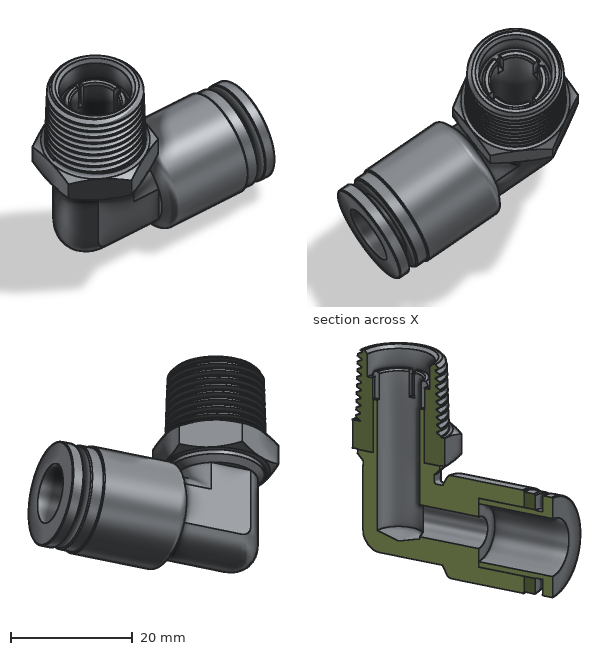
import cadquery as cq
import math


ARM_RADIUS = 6.98
ARM_HALF_WIDTH = 6.0
OUTER_CORNER_RADIUS = 3.4
INNER_CORNER_RADIUS = 0.45

SLEEVE_RADIUS = 9.0
SLEEVE_BACK_Y = 8.5
SLEEVE_FRONT_Y = 24.45
SLEEVE_BACK_CONE_ANGLE = 60
SLEEVE_BACK_FILLET = 1.15
SLEEVE_FRONT_CHAMFER = 0.2

COLLAR_RADIUS = 8.03
COLLAR_BOTTOM_Z = 8.45
COLLAR_CHAMFER = 1.05
HEX_BOTTOM_Z = 10.25

SPIGOT_RADIUS = 5.03
SPIGOT_TOP_Z = 24.2
HOOK_RADIUS = 5.5
HOOK_HEIGHT = 1.0
HOOK_TIP_HEIGHT = 0.15
SPIGOT_INNER_CHAMFER = 0.3
SLOT_WIDTH = 1.05
SLOT_BOTTOM_Z = 19.5

BORE_RADIUS = 4.1
BORE_BOTTOM_Z = -3.1
DRILL_POINT_HALF_ANGLE = 75
PASSAGE_RADIUS = 2.73

HEX_FLATS = 18.0
HEX_TOP_Z = 15.25
HEX_CHAMFER_RADIUS = 8.95
HEX_CHAMFER_ANGLE = 30
STUD_TOP_Z = 27.7
STUD_BORE_RADIUS = 6.0
STUD_INNER_CHAMFER = 0.6
THREAD_BASE_RADIUS = 8.35
THREAD_TAPER = 1 / 32
THREAD_PITCH = 1.335
THREAD_DEPTH = 0.8
THREAD_ROOT_FLAT = 0.1
THREAD_HALF_ANGLE = 27.5
THREAD_START_ANGLE = -90
STUD_TOP_RADIUS = 7.2
STUD_TOP_CHAMFER_ANGLE = 45
CUT_CLEARANCE = 0.2

RING_RADIUS = 8.73
RING_FRONT_Y = 26.6
RING_CHAMFER = 0.25
COLLET_NECK_RADIUS = 5.92
COLLET_TUBE_RADIUS = 5.0
COLLET_INNER_Y = 15.6
COLLET_FLANGE_Y = 27.95
COLLET_END_Y = 29.95
COLLET_CHAMFER = 0.15


def tan_deg(angle):
    return math.tan(math.radians(angle))


def cylinder_z(radius, bottom, top):
    return cq.Workplane("XY").workplane(offset=bottom).circle(radius).extrude(top - bottom)


def cylinder_y(radius, start, end):
    return cq.Workplane("XZ").workplane(offset=-start).circle(radius).extrude(start - end)


def revolve_z(points):
    """Revolve a closed (radius, z) outline about the Z axis."""
    return cq.Workplane("XZ").polyline(points).close().revolve(360, (0, 0), (0, 1))


def elbow_arms():
    """Two flattened cylinders that meet in a rounded mitre."""
    outer = -2 * ARM_RADIUS
    stud_side = (
        cq.Workplane("YZ")
        .polyline([(outer, outer), (COLLAR_BOTTOM_Z, COLLAR_BOTTOM_Z), (outer, COLLAR_BOTTOM_Z)])
        .close()
        .extrude(ARM_HALF_WIDTH, both=True)
    )
    tube_side = (
        cq.Workplane("YZ")
        .polyline([(outer, outer), (SLEEVE_BACK_Y, SLEEVE_BACK_Y), (SLEEVE_BACK_Y, outer)])
        .close()
        .extrude(ARM_HALF_WIDTH, both=True)
    )
    stud_arm = cylinder_z(ARM_RADIUS, outer, COLLAR_BOTTOM_Z).intersect(stud_side)
    tube_arm = cylinder_y(ARM_RADIUS, outer, SLEEVE_BACK_Y).intersect(tube_side)
    arms = stud_arm.union(tube_arm)
    arms = arms.edges(cq.selectors.NearestToPointSelector((0, -ARM_RADIUS, -ARM_RADIUS)))
    arms = arms.fillet(OUTER_CORNER_RADIUS)
    arms = arms.edges(cq.selectors.NearestToPointSelector((0, ARM_RADIUS, ARM_RADIUS)))
    return arms.fillet(INNER_CORNER_RADIUS)


def sleeve():
    """Round sleeve with a filleted cone at the back and a chamfer at the front."""
    cone_length = (SLEEVE_RADIUS - ARM_RADIUS) / tan_deg(SLEEVE_BACK_CONE_ANGLE)
    cone_end_y = SLEEVE_BACK_Y + cone_length
    body = (
        cq.Workplane("XY")
        .polyline([
            (0, SLEEVE_BACK_Y),
            (ARM_RADIUS, SLEEVE_BACK_Y),
            (SLEEVE_RADIUS, cone_end_y),
            (SLEEVE_RADIUS, SLEEVE_FRONT_Y),
            (0, SLEEVE_FRONT_Y),
        ])
        .close()
        .revolve(360, (0, 0), (0, 1))
    )
    front = body.faces(">Y").edges().chamfer(SLEEVE_FRONT_CHAMFER)
    back_edge = cq.selectors.BoxSelector(
        (-SLEEVE_RADIUS, cone_end_y - 0.05, -SLEEVE_RADIUS),
        (SLEEVE_RADIUS, cone_end_y + 0.05, SLEEVE_RADIUS),
    )
    return front.edges(back_edge).fillet(SLEEVE_BACK_FILLET)


def collar_and_spigot():
    """Collar, and the spigot whose hooked top clips over the ledge in the stud."""
    hook_bottom_z = SPIGOT_TOP_Z - HOOK_HEIGHT
    return revolve_z([
        (0, COLLAR_BOTTOM_Z),
        (COLLAR_RADIUS - COLLAR_CHAMFER, COLLAR_BOTTOM_Z),
        (COLLAR_RADIUS, COLLAR_BOTTOM_Z + COLLAR_CHAMFER),
        (COLLAR_RADIUS, HEX_BOTTOM_Z),
        (SPIGOT_RADIUS, HEX_BOTTOM_Z),
        (SPIGOT_RADIUS, hook_bottom_z),
        (HOOK_RADIUS, hook_bottom_z),
        (HOOK_RADIUS, hook_bottom_z + HOOK_TIP_HEIGHT),
        (SPIGOT_RADIUS, SPIGOT_TOP_Z),
        (0, SPIGOT_TOP_Z),
    ])


def stud_side_bore():
    """Blind bore with a drill point, and a chamfered mouth."""
    point_depth = BORE_RADIUS / tan_deg(DRILL_POINT_HALF_ANGLE)
    return revolve_z([
        (0, BORE_BOTTOM_Z - point_depth),
        (BORE_RADIUS, BORE_BOTTOM_Z),
        (BORE_RADIUS, SPIGOT_TOP_Z - SPIGOT_INNER_CHAMFER),
        (BORE_RADIUS + SPIGOT_INNER_CHAMFER, SPIGOT_TOP_Z),
        (0, SPIGOT_TOP_Z),
    ])


def finger_slots():
    """Two crossing slots that part the spigot top into four fingers."""
    length = 2 * HOOK_RADIUS + SLOT_WIDTH
    base = cq.Workplane("XY").workplane(offset=SLOT_BOTTOM_Z)
    depth = SPIGOT_TOP_Z - SLOT_BOTTOM_Z
    return base.rect(length, SLOT_WIDTH).extrude(depth).union(base.rect(SLOT_WIDTH, length).extrude(depth))


def make_elbow():
    solid = elbow_arms().union(sleeve()).union(collar_and_spigot())
    return (
        solid.cut(stud_side_bore())
        .cut(cylinder_y(PASSAGE_RADIUS, 0, SLEEVE_FRONT_Y))
        .cut(cylinder_y(COLLET_NECK_RADIUS, COLLET_INNER_Y, SLEEVE_FRONT_Y))
        .cut(finger_slots())
    )


def hexagon():
    """Hexagon with two corners on the X axis and both ends chamfered."""
    corner_radius = HEX_FLATS / math.sqrt(3)
    drop = (corner_radius - HEX_CHAMFER_RADIUS) * tan_deg(HEX_CHAMFER_ANGLE)
    prism = (
        cq.Workplane("XY")
        .workplane(offset=HEX_BOTTOM_Z)
        .polygon(6, 2 * corner_radius)
        .extrude(HEX_TOP_Z - HEX_BOTTOM_Z)
    )
    envelope = revolve_z([
        (0, HEX_BOTTOM_Z),
        (HEX_CHAMFER_RADIUS, HEX_BOTTOM_Z),
        (corner_radius, HEX_BOTTOM_Z + drop),
        (corner_radius, HEX_TOP_Z - drop),
        (HEX_CHAMFER_RADIUS, HEX_TOP_Z),
        (0, HEX_TOP_Z),
    ])
    return prism.intersect(envelope)


def thread_groove():
    """Tapered right-hand V groove that starts at the hexagon on the +X side."""
    root_radius = THREAD_BASE_RADIUS - THREAD_DEPTH
    mouth_radius = THREAD_BASE_RADIUS + CUT_CLEARANCE
    root_half = THREAD_ROOT_FLAT / 2
    mouth_half = root_half + (mouth_radius - root_radius) * tan_deg(THREAD_HALF_ANGLE)
    path = cq.Wire.makeHelix(
        THREAD_PITCH,
        STUD_TOP_Z - HEX_TOP_Z + THREAD_PITCH,
        root_radius,
        center=cq.Vector(0, 0, HEX_TOP_Z),
        angle=-math.degrees(math.atan(THREAD_TAPER)),
    )
    return (
        cq.Workplane("XZ", origin=(0, 0, HEX_TOP_Z))
        .polyline([
            (root_radius, -root_half),
            (mouth_radius, -mouth_half),
            (mouth_radius, mouth_half),
            (root_radius, root_half),
        ])
        .close()
        .sweep(cq.Workplane(path), isFrenet=True)
    )


def threaded_shank():
    """Tapered shank with a helical groove and a chamfered end, turned to the thread start."""
    end_radius = THREAD_BASE_RADIUS - THREAD_TAPER * (STUD_TOP_Z - HEX_TOP_Z)
    shank = revolve_z([
        (0, HEX_TOP_Z),
        (THREAD_BASE_RADIUS, HEX_TOP_Z),
        (end_radius, STUD_TOP_Z),
        (0, STUD_TOP_Z),
    ])
    cutter_radius = end_radius + CUT_CLEARANCE
    cutter_height = (cutter_radius - STUD_TOP_RADIUS) * tan_deg(STUD_TOP_CHAMFER_ANGLE)
    chamfer_cutter = revolve_z([
        (STUD_TOP_RADIUS, STUD_TOP_Z),
        (cutter_radius, STUD_TOP_Z - cutter_height),
        (cutter_radius, STUD_TOP_Z),
    ])
    threaded = shank.cut(thread_groove()).cut(chamfer_cutter)
    return threaded.rotate((0, 0, 0), (0, 0, 1), THREAD_START_ANGLE)


def stud_bore():
    """Stepped bore: spigot fit below, wide bore with a chamfered mouth above the hooks."""
    ledge_z = SPIGOT_TOP_Z - HOOK_HEIGHT
    return revolve_z([
        (0, HEX_BOTTOM_Z),
        (SPIGOT_RADIUS, HEX_BOTTOM_Z),
        (SPIGOT_RADIUS, ledge_z),
        (STUD_BORE_RADIUS, ledge_z),
        (STUD_BORE_RADIUS, STUD_TOP_Z - STUD_INNER_CHAMFER),
        (STUD_BORE_RADIUS + STUD_INNER_CHAMFER, STUD_TOP_Z),
        (0, STUD_TOP_Z),
    ])


def make_stud():
    return hexagon().union(threaded_shank()).cut(stud_bore())


def make_guide_ring():
    ring = cylinder_y(RING_RADIUS, SLEEVE_FRONT_Y, RING_FRONT_Y)
    ring = ring.faces(">Y").edges().chamfer(RING_CHAMFER)
    return ring.cut(cylinder_y(COLLET_NECK_RADIUS, SLEEVE_FRONT_Y, RING_FRONT_Y))


def make_release_collet():
    flange = cylinder_y(RING_RADIUS, COLLET_FLANGE_Y, COLLET_END_Y)
    flange = flange.faces("<Y or >Y").edges().chamfer(COLLET_CHAMFER)
    neck = cylinder_y(COLLET_NECK_RADIUS, COLLET_INNER_Y, COLLET_END_Y)
    return flange.union(neck).cut(cylinder_y(COLLET_TUBE_RADIUS, COLLET_INNER_Y, COLLET_END_Y))


elbow = make_elbow()
stud = make_stud()
guide_ring = make_guide_ring()
release_collet = make_release_collet()

result = cq.Compound.makeCompound([
    elbow.val(),
    stud.val(),
    guide_ring.val(),
    release_collet.val(),
])